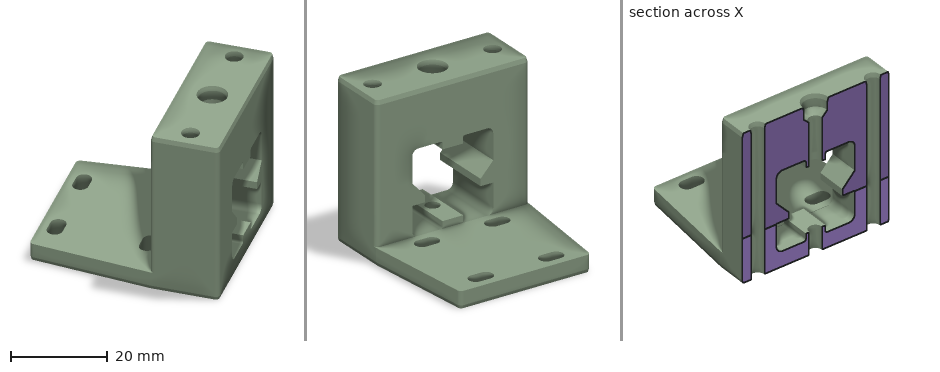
import cadquery as cq
import math

LENGTH = 42.0
WIDTH = 38.0
HEIGHT = 37.6

BLOCK_DEPTH = 15.0
PARTING_Z = 11.3
CORNER_RADIUS = 1.0
BLOCK_FACE_X = LENGTH - BLOCK_DEPTH
BLOCK_CENTER_X = LENGTH - BLOCK_DEPTH / 2

PLATE_THICKNESS = 4.07
PLATE_END_WIDTH = 32.42

CHAMFER_TAPER = 16.0
TOP_CHAMFER_HEIGHT = 1.0
BOTTOM_CHAMFER_HEIGHT = 0.8

SLOT_WIDTH = 3.4
SLOT_LENGTH = 5.9
SLOT_FIRST_X = 3.53
SLOT_PITCH_X = 20.0
SLOT_PITCH_Y = 17.47

OPENING_SIZE = 20.1
OPENING_CENTER_Z = 14.03
OPENING_RADIUS = 1.5
OPENING_BOTTOM_Z = OPENING_CENTER_Z - OPENING_SIZE / 2
OPENING_TOP_Z = OPENING_CENTER_Z + OPENING_SIZE / 2

LUG_WIDTH = 5.1
LUG_HEIGHT = 1.85
LUG_ROOT_RADIUS = 0.5

JAW_GAP = 13.8
JAW_TIP_Z = 12.98
JAW_TOP_Z = 16.42

SCREW_DIAMETER = 3.3
SIDE_SCREW_Y = 14.9
HEAD_DIAMETER = 5.95
HEAD_DEPTH = 3.1


def rounded_column(bottom_z, top_z):
    """Section of the upright block with rounded vertical corners."""
    return (
        cq.Workplane("XY", origin=(BLOCK_CENTER_X, 0, bottom_z))
        .rect(BLOCK_DEPTH, WIDTH)
        .extrude(top_z - bottom_z)
        .edges("|Z")
        .fillet(CORNER_RADIUS)
    )


def plate():
    """Foot under the block and the plate that narrows away from it, chamfered underneath."""
    half_width = WIDTH / 2
    half_end = PLATE_END_WIDTH / 2
    outline = [
        (0, -half_end),
        (BLOCK_FACE_X, -half_width),
        (LENGTH, -half_width),
        (LENGTH, half_width),
        (BLOCK_FACE_X, half_width),
        (0, half_end),
    ]
    body = (
        cq.Workplane("XY", origin=(0, 0, BOTTOM_CHAMFER_HEIGHT))
        .polyline(outline)
        .close()
        .extrude(PLATE_THICKNESS - BOTTOM_CHAMFER_HEIGHT)
    )
    body = body.edges("|Z and (<X or >X)").fillet(CORNER_RADIUS)
    return body.faces("<Z").wires().toPending().workplane().extrude(BOTTOM_CHAMFER_HEIGHT, taper=CHAMFER_TAPER)


def slots():
    """Four slots through the plate in a two by two pattern."""
    return (
        cq.Workplane("XY", origin=(SLOT_FIRST_X + SLOT_PITCH_X / 2, 0, 0))
        .rarray(SLOT_PITCH_X, SLOT_PITCH_Y, 2, 2)
        .slot2D(SLOT_LENGTH, SLOT_WIDTH, 90)
        .extrude(PLATE_THICKNESS)
    )


def opening():
    """Space for the rail: a square with rounded corners, less the lugs on its floor and roof."""
    face = cq.Workplane("YZ", origin=(BLOCK_FACE_X, 0, 0))
    space = (
        face.center(0, OPENING_CENTER_Z)
        .rect(OPENING_SIZE, OPENING_SIZE)
        .extrude(BLOCK_DEPTH)
        .edges("|X")
        .fillet(OPENING_RADIUS)
    )
    lug_centers = [
        (0, OPENING_BOTTOM_Z + LUG_HEIGHT / 2),
        (0, OPENING_TOP_Z - LUG_HEIGHT / 2),
    ]
    lugs = face.pushPoints(lug_centers).rect(LUG_WIDTH, LUG_HEIGHT).extrude(BLOCK_DEPTH)
    space = space.cut(lugs)
    for root_z in (OPENING_BOTTOM_Z, OPENING_TOP_Z):
        root_zone = cq.selectors.BoxSelector(
            (BLOCK_FACE_X, -LUG_WIDTH, root_z - LUG_HEIGHT / 2),
            (LENGTH, LUG_WIDTH, root_z + LUG_HEIGHT / 2),
        )
        roots = space.edges("|X").edges(root_zone)
        space = roots.fillet(LUG_ROOT_RADIUS)
    return space


def jaw():
    """Wedge on the +Y wall of the opening, resting on the parting plane."""
    wall_y = OPENING_SIZE / 2
    tip_y = JAW_GAP / 2
    profile = [
        (wall_y, PARTING_Z),
        (tip_y, PARTING_Z),
        (tip_y, JAW_TIP_Z),
        (wall_y, JAW_TOP_Z),
    ]
    return cq.Workplane("YZ", origin=(BLOCK_FACE_X, 0, 0)).polyline(profile).close().extrude(BLOCK_DEPTH)


def screw_holes():
    """One centre hole and two side holes through the full height."""
    return (
        cq.Workplane("XY", origin=(BLOCK_CENTER_X, 0, 0))
        .pushPoints([(0, -SIDE_SCREW_Y), (0, 0), (0, SIDE_SCREW_Y)])
        .circle(SCREW_DIAMETER / 2)
        .extrude(HEIGHT)
    )


def mouth_chamfer(center_y, diameter):
    """Conical lead-in at the top of a hole."""
    mouth_radius = diameter / 2 + TOP_CHAMFER_HEIGHT * math.tan(math.radians(CHAMFER_TAPER))
    return (
        cq.Workplane("XY", origin=(BLOCK_CENTER_X, center_y, HEIGHT))
        .circle(mouth_radius)
        .extrude(-TOP_CHAMFER_HEIGHT, taper=CHAMFER_TAPER)
    )


def head_recess():
    """Recess for a countersunk head: a cylinder ending in a 90 degree cone."""
    head_radius = HEAD_DIAMETER / 2
    screw_radius = SCREW_DIAMETER / 2
    cone_top_z = HEIGHT - HEAD_DEPTH
    cone_bottom_z = cone_top_z - (head_radius - screw_radius)
    profile = [
        (0, HEIGHT),
        (head_radius, HEIGHT),
        (head_radius, cone_top_z),
        (screw_radius, cone_bottom_z),
        (0, cone_bottom_z),
    ]
    return (
        cq.Workplane("XZ", origin=(BLOCK_CENTER_X, 0, 0))
        .polyline(profile)
        .close()
        .revolve(360, (0, 0), (0, 1))
    )


def make_base():
    """Lower body: plate and the lower part of the block."""
    column = rounded_column(PLATE_THICKNESS, PARTING_Z)
    return plate().union(column).cut(slots()).cut(opening()).cut(screw_holes())


def make_cap():
    """Upper body: chamfered top of the block with the jaws and the recessed screw holes."""
    column = rounded_column(PARTING_Z, HEIGHT - TOP_CHAMFER_HEIGHT)
    body = column.faces(">Z").wires().toPending().workplane().extrude(TOP_CHAMFER_HEIGHT, taper=CHAMFER_TAPER)
    wall_jaw = jaw()
    body = body.cut(opening()).union(wall_jaw).union(wall_jaw.mirror("XZ"))
    body = body.cut(screw_holes()).cut(head_recess()).cut(mouth_chamfer(0, HEAD_DIAMETER))
    for side_y in (-SIDE_SCREW_Y, SIDE_SCREW_Y):
        body = body.cut(mouth_chamfer(side_y, SCREW_DIAMETER))
    return body


base = make_base()
cap = make_cap()

result = cq.Compound.makeCompound([base.val(), cap.val()])